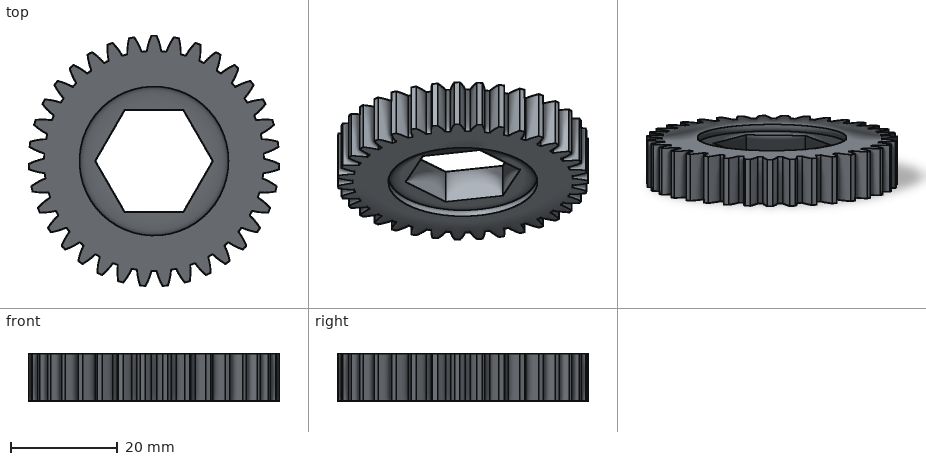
import cadquery as cq
import math

MODULE = 1.27
TEETH = 35
PITCH_RADIUS = MODULE * TEETH / 2
ADDENDUM = MODULE
DEDENDUM = 1.25 * MODULE
TIP_RADIUS = PITCH_RADIUS + ADDENDUM
ROOT_RADIUS = PITCH_RADIUS - DEDENDUM
FACE_WIDTH = 8.89

TIP_THICKNESS = 1.02
PITCH_THICKNESS = math.pi * MODULE / 2
ROOT_THICKNESS = 2.76

HEX_SIDES = 6
HEX_ACROSS_FLATS = 19.05
HEX_ACROSS_CORNERS = HEX_ACROSS_FLATS / math.cos(math.pi / HEX_SIDES)
RECESS_DIAMETER = 27.94
RECESS_DEPTH = 1.27

FIRST_TOOTH_ANGLE = 90.0
TOOTH_STEP = 360.0 / TEETH


def polar(radius, angle):
    """Point at a radius and an angle in degrees."""
    return (radius * math.cos(math.radians(angle)), radius * math.sin(math.radians(angle)))


def half_angle(thickness, radius):
    """Angle in degrees from a tooth's centreline to its flank."""
    return math.degrees(math.asin(thickness / (2 * radius)))


def gear_blank():
    """Toothed disc standing on Z = 0, with arcs for flanks, tips and roots."""
    tip_half = half_angle(TIP_THICKNESS, TIP_RADIUS)
    pitch_half = half_angle(PITCH_THICKNESS, PITCH_RADIUS)
    root_half = half_angle(ROOT_THICKNESS, ROOT_RADIUS)

    outline = cq.Workplane("XY").moveTo(*polar(ROOT_RADIUS, FIRST_TOOTH_ANGLE - root_half))
    for index in range(TEETH):
        centre = FIRST_TOOTH_ANGLE + index * TOOTH_STEP
        next_centre = centre + TOOTH_STEP
        outline = outline.threePointArc(
            polar(PITCH_RADIUS, centre - pitch_half), polar(TIP_RADIUS, centre - tip_half)
        )
        outline = outline.threePointArc(polar(TIP_RADIUS, centre), polar(TIP_RADIUS, centre + tip_half))
        outline = outline.threePointArc(
            polar(PITCH_RADIUS, centre + pitch_half), polar(ROOT_RADIUS, centre + root_half)
        )
        outline = outline.threePointArc(
            polar(ROOT_RADIUS, centre + TOOTH_STEP / 2), polar(ROOT_RADIUS, next_centre - root_half)
        )
    return outline.close().extrude(FACE_WIDTH)


def hex_bore():
    """Through hexagon with two corners on the X axis."""
    return cq.Workplane("XY").polygon(HEX_SIDES, HEX_ACROSS_CORNERS).extrude(FACE_WIDTH)


def face_recess(base_height):
    """Shallow round recess volume starting at the given height."""
    base = cq.Workplane("XY").workplane(offset=base_height)
    return base.circle(RECESS_DIAMETER / 2).extrude(RECESS_DEPTH)


result = gear_blank().cut(hex_bore())
for recess_base in (0, FACE_WIDTH - RECESS_DEPTH):
    result = result.cut(face_recess(recess_base))